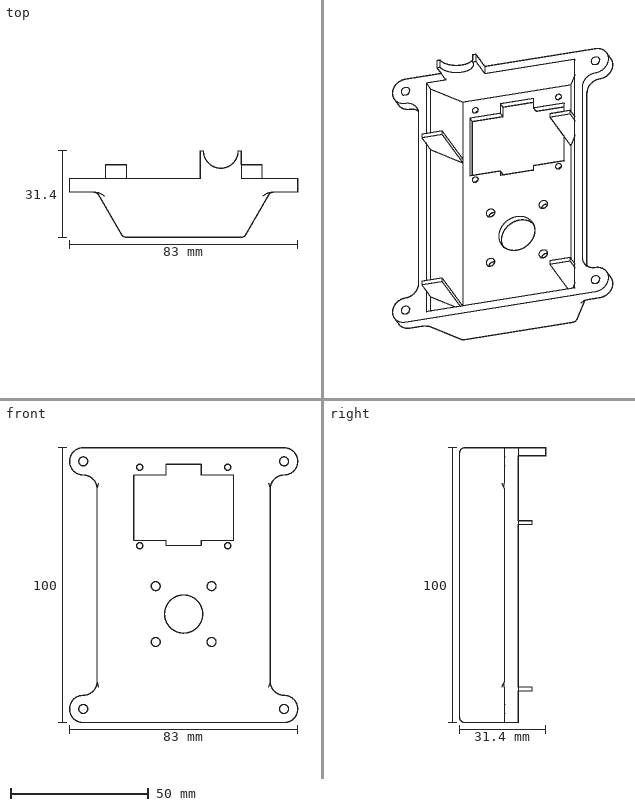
import cadquery as cq
import math

height = 100.0
side_half_width = 31.5
wall = 3.0
rim_depth = 5.0
total_depth = 21.4
slope_angle = math.radians(30.0)
edge_radius = 2.0

ear_radius = 5.0
ear_hole_diameter = 3.2
ear_center_x = side_half_width + ear_radius

window_width = 36.2
window_bottom = 66.3
window_top = 90.0
notch_width = 12.7
notch_bottom = 64.5
notch_top = 93.9
display_hole_diameter = 2.2
display_hole_spacing_x = 32.0
display_hole_spacing_z = 28.5
display_hole_center_z = 78.6

dial_diameter = 13.8
dial_z = 39.5
dial_hole_diameter = 3.2
dial_hole_spacing = 20.3

cradle_x = 13.5
cradle_width = 15.0
cradle_height = 10.0
cradle_diameter = 12.5

rib_inner_x = 20.7
rib_thickness = 1.5
rib_projection = 5.0
upper_rib_bottom = 72.0
lower_rib_bottom = 11.5

slope_run = (total_depth - rim_depth) * math.tan(slope_angle)
front_half_width = side_half_width - slope_run

inner_half_width = side_half_width - wall
inner_front_y = wall - total_depth
inner_front_half_width = inner_half_width - (slope_run - wall * math.tan(slope_angle))

blend_turn = math.pi / 2 - slope_angle
blend_tangent = edge_radius * math.tan(blend_turn / 2)
blend_ear_x = side_half_width + blend_tangent
blend_slope_x = side_half_width - blend_tangent * math.sin(slope_angle)
blend_slope_y = -rim_depth - blend_tangent * math.cos(slope_angle)


def prism_z(points, bottom, length):
    """Extrude an XY outline upward from the given height."""
    return cq.Workplane("XY").workplane(offset=bottom).polyline(points).close().extrude(length)


def mirrored_outline(half):
    """Complete an XY outline from its +X half by mirroring it about the Y axis."""
    return half + [(-x, y) for x, y in reversed(half)]


def block(x_range, y_range, z_range):
    """A box given by its limits along each axis."""
    (x0, x1), (y0, y1), (z0, z1) = x_range, y_range, z_range
    return cq.Workplane("XY").box(x1 - x0, y1 - y0, z1 - z0, centered=False).translate((x0, y0, z0))


def front_holes(centers, diameter):
    """Round cutters along Y through the whole part, at the given X, Z centers."""
    return cq.Workplane("XZ").pushPoints(centers).circle(diameter / 2).extrude(total_depth)


def corner_points(spacing_x, spacing_z, center_z):
    """The four corners of a rectangle centered on X = 0."""
    return [
        (x_sign * spacing_x / 2, center_z + z_sign * spacing_z / 2)
        for x_sign in (-1, 1)
        for z_sign in (-1, 1)
    ]


def make_ear(x_sign, z_sign, depth):
    """One lug, blended into the side of the rim with a concave arc."""
    middle = height / 2
    center_z = middle - ear_radius
    inner_z = center_z - ear_radius
    blend_end_z = inner_z - ear_radius
    arc_offset = ear_radius * math.sqrt(0.5)

    def at(x, z):
        return (x_sign * x, middle + z_sign * z)

    return (
        cq.Workplane("XZ")
        .moveTo(*at(0, middle))
        .lineTo(*at(ear_center_x, middle))
        .threePointArc(at(ear_center_x + ear_radius, center_z), at(ear_center_x, inner_z))
        .threePointArc(
            at(ear_center_x - arc_offset, blend_end_z + arc_offset),
            at(side_half_width, blend_end_z),
        )
        .lineTo(*at(0, blend_end_z))
        .close()
        .extrude(depth)
    )


def make_plate(depth):
    """The outline of the rim with its four ears, extruded from Y = 0 toward the front."""
    plate = block((-side_half_width, side_half_width), (-depth, 0), (0, height))
    for x_sign in (-1, 1):
        for z_sign in (-1, 1):
            plate = plate.union(make_ear(x_sign, z_sign, depth))
    return plate


def make_hull():
    """The solid sloped body with rounded front, top and bottom edges."""
    half = [
        (side_half_width, 0),
        (side_half_width, -rim_depth),
        (front_half_width, -total_depth),
    ]
    hull = prism_z(mirrored_outline(half), 0, height)
    front_edges = hull.faces("<Y").edges()
    slope_end_edges = hull.faces("<Z or >Z").edges("not(#Y or |Y)")
    return front_edges.add(slope_end_edges).fillet(edge_radius)


def make_blended_hull():
    """The hull on an oversized slab, with a concave blend all round where they meet."""
    slab_half_width = ear_center_x + ear_radius
    margin = ear_radius
    slab = block(
        (-slab_half_width, slab_half_width),
        (-rim_depth, 0),
        (-margin, height + margin),
    )
    joined = make_hull().union(slab)
    clearance = margin / 2
    reach = slab_half_width - clearance
    inside_slab_outline = cq.selectors.BoxSelector(
        (-reach, -rim_depth - blend_tangent / 2, -clearance),
        (reach, -rim_depth + blend_tangent / 2, height + clearance),
    )
    return joined.edges(inside_slab_outline).fillet(edge_radius)


def make_blend_relief(x_sign):
    """What the blend adds to one slope between its two ears, tapered toward both."""
    points = [
        (side_half_width, -rim_depth),
        (blend_slope_x, blend_slope_y),
        (blend_ear_x, blend_slope_y),
        (blend_ear_x, -rim_depth),
    ]
    relief_start = 3 * ear_radius
    taper = edge_radius
    side_profile = [
        (-rim_depth, relief_start),
        (blend_slope_y, relief_start - taper),
        (blend_slope_y, height - relief_start + taper),
        (-rim_depth, height - relief_start),
    ]
    cross_section = prism_z([(x_sign * x, y) for x, y in points], 0, height)
    taper_prism = cq.Workplane("YZ").polyline(side_profile).close().extrude(x_sign * blend_ear_x)
    return cross_section.intersect(taper_prism)


def make_cavity_prism(bottom, length):
    """The inner cross-section of the shell, extruded along Z."""
    half = [
        (inner_half_width, 0),
        (inner_half_width, -rim_depth),
        (inner_front_half_width, inner_front_y),
    ]
    return prism_z(mirrored_outline(half), bottom, length)


def make_ribs(bottom):
    """A pair of triangular corner ribs with tabs that stand out past the rim."""
    z_range = (bottom, bottom + rib_thickness)
    filled = make_cavity_prism(bottom, rib_thickness)
    ribs = None
    for x_sign in (-1, 1):
        x_range = sorted((x_sign * rib_inner_x, x_sign * inner_half_width))
        inside = filled.intersect(block(x_range, (-total_depth, 0), z_range))
        tab = block(x_range, (0, rib_projection), z_range)
        rib = inside.union(tab)
        ribs = rib if ribs is None else ribs.union(rib)
    return ribs


def make_cradle():
    """A lug at the back of the top wall with a half-round seat for a cable."""
    half_width = cradle_width / 2
    lug = block(
        (cradle_x - half_width, cradle_x + half_width),
        (-wall, cradle_height),
        (height - wall, height),
    )
    seat = (
        cq.Workplane("XY")
        .workplane(offset=height - wall)
        .center(cradle_x, cradle_height)
        .circle(cradle_diameter / 2)
        .extrude(wall)
    )
    return lug.cut(seat)


body = make_blended_hull().intersect(make_plate(total_depth))
for x_sign in (-1, 1):
    body = body.cut(make_blend_relief(x_sign))

body = body.cut(make_cavity_prism(wall, height - 2 * wall))

ear_holes = corner_points(2 * ear_center_x, height - 2 * ear_radius, height / 2)
body = body.cut(front_holes(ear_holes, ear_hole_diameter))

through_front = (-total_depth, inner_front_y)
body = body.cut(block((-window_width / 2, window_width / 2), through_front, (window_bottom, window_top)))
body = body.cut(block((-notch_width / 2, notch_width / 2), through_front, (notch_bottom, notch_top)))
display_holes = corner_points(display_hole_spacing_x, display_hole_spacing_z, display_hole_center_z)
body = body.cut(front_holes(display_holes, display_hole_diameter))

body = body.cut(front_holes([(0, dial_z)], dial_diameter))
dial_holes = corner_points(dial_hole_spacing, dial_hole_spacing, dial_z)
body = body.cut(front_holes(dial_holes, dial_hole_diameter))

body = body.union(make_ribs(upper_rib_bottom))
body = body.union(make_ribs(lower_rib_bottom))
body = body.union(make_cradle())

result = body